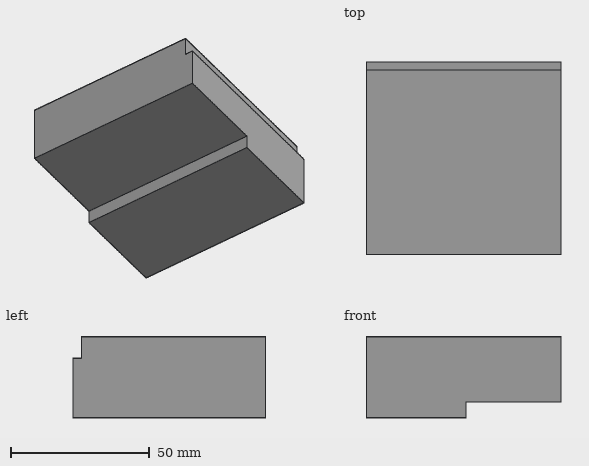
import cadquery as cq

length = 70.1
depth = 69.4
height = 29.2

foot_length = 35.9
relief_height = 5.6

step_depth = 3.0
step_height = 7.8

block = cq.Workplane("XY").box(length, depth, height, centered=False)

relief = (
    cq.Workplane("XY")
    .box(length - foot_length, depth, relief_height, centered=False)
    .translate((foot_length, 0, 0))
)

rear_step = (
    cq.Workplane("XY")
    .box(length, step_depth, step_height, centered=False)
    .translate((0, depth - step_depth, height - step_height))
)

result = block.cut(relief).cut(rear_step)